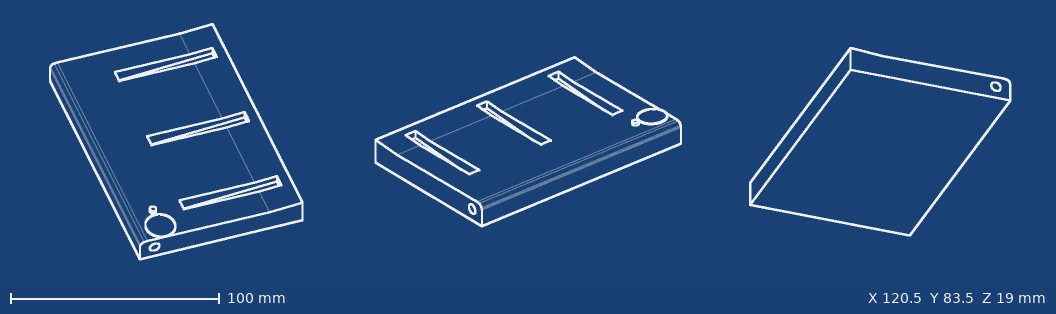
import cadquery as cq
import math

length = 120.5
depth = 83.5
back_height = 13.0
flat_depth = 17.0
front_bottom = 6.0

ridge_setback = 3.9
ridge_height = 18.1
nose_corner_setback = 0.7
nose_corner_height = 17.8
nose_radius = 2.2
lip_setback = 0.1
lip_height = 15.8
front_top = 15.3

slot_width = 6.0
slot_length = 50.0
slot_pitch = 43.3
slot_back_gap = 5.5
slot_floor = 9.0

pin_diameter = 5.0
pin_setback = 7.6
pin_height = 12.0
pin_depth = 10.0

pad_setback = 13.3
disc_radius = 7.2
disc_x = length - disc_radius
disc_rise = 0.5
dot_radius = 1.6
dot_x = 103.1
dot_rise = 1.5

flat_front = depth - flat_depth
slope = (ridge_height - back_height) / (flat_front - ridge_setback)
slope_angle = math.degrees(math.atan(slope))


def wedge():
    """Side profile extruded along X, with the nose corner rounded."""
    profile = [
        (0, front_bottom),
        (depth, 0),
        (depth, back_height),
        (flat_front, back_height),
        (ridge_setback, ridge_height),
        (nose_corner_setback, nose_corner_height),
        (lip_setback, lip_height),
        (0, front_top),
    ]
    nose_corner = (length / 2, nose_corner_setback, nose_corner_height)
    body = cq.Workplane("YZ").polyline(profile).close().extrude(length)
    return body.edges(cq.NearestToPointSelector(nose_corner)).fillet(nose_radius)


def slots():
    """Three level-floored slots, open at the top."""
    centre_y = depth - slot_back_gap - slot_length / 2
    centres = [(length / 2 + i * slot_pitch, centre_y) for i in (-1, 0, 1)]
    return (
        cq.Workplane("XY", origin=(0, 0, slot_floor))
        .pushPoints(centres)
        .rect(slot_width, slot_length)
        .extrude(ridge_height - slot_floor)
    )


def pin_hole(start_x):
    """Blind hole along +X, near the front face."""
    return (
        cq.Workplane("YZ", origin=(start_x, pin_setback, pin_height))
        .circle(pin_diameter / 2)
        .extrude(pin_depth)
    )


def pad(x, radius, rise):
    """Round pad standing square on the sloping top face, sunk by its own rise."""
    surface_z = ridge_height - slope * (pad_setback - ridge_setback)
    return (
        cq.Workplane("XY", origin=(0, 0, -rise))
        .circle(radius)
        .extrude(2 * rise)
        .rotate((0, 0, 0), (1, 0, 0), -slope_angle)
        .translate((x, pad_setback, surface_z))
    )


result = wedge().cut(slots())
for hole_start in (0, length - pin_depth):
    result = result.cut(pin_hole(hole_start))
result = result.union(pad(disc_x, disc_radius, disc_rise))
result = result.union(pad(dot_x, dot_radius, dot_rise))